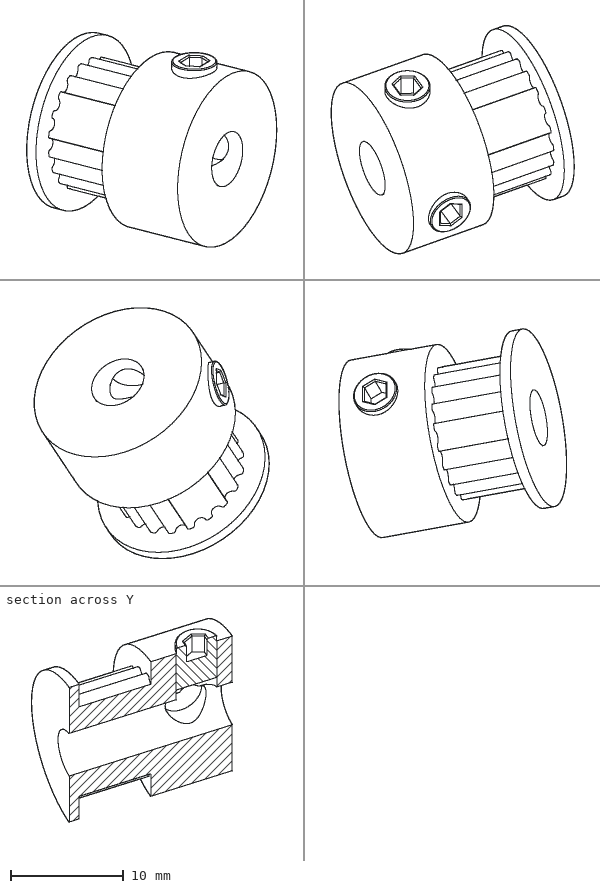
import cadquery as cq
import math

flange_diameter = 16.0
flange_thickness = 1.0
pulley_length = 16.0
hub_diameter = flange_diameter
hub_length = pulley_length / 2
hub_start = pulley_length - hub_length
bore_diameter = 5.0

tooth_count = 20
tooth_pitch = 2 * math.pi / tooth_count
drum_radius = 6.0
drum_length = hub_start - flange_thickness
tooth_land = 0.3
tooth_tip_radius = 0.2
groove_depth = 0.73
groove_bottom_radius = 0.55
groove_flank_radius = 1.0

screw_diameter = 4.0
screw_length = 5.0
screw_position = 12.5
top_screw_end = 8.63
side_screw_end = 8.45
screw_placements = [(top_screw_end, 0), (side_screw_end, -90)]
rim_chamfer = 0.1

socket_width = 1.98
socket_height = 2.43
socket_side = 1.45
socket_depth = 2.0
socket_chamfer = 0.13


def offset_point(start, distance, angle):
    """Point (y, z) at a distance from a start point, the angle running from +Z towards +Y."""
    return (start[0] + distance * math.sin(angle), start[1] + distance * math.cos(angle))


def turned(point, angle):
    """Point (y, z) turned about the pulley axis, from +Z towards +Y."""
    return offset_point((0, 0), math.hypot(*point), math.atan2(*point) + angle)


def mirrored(point):
    """Point (y, z) mirrored across the Z axis."""
    return (-point[0], point[1])


def half_groove_points():
    """Points of half a groove facing +Z, from its bottom out to the tooth land.

    Three tangent arcs: the groove bottom, a flatter flank, and the rounded tooth tip.
    """
    bottom_center = (0, drum_radius - groove_depth + groove_bottom_radius)
    land_angle = (tooth_pitch - tooth_land / drum_radius) / 2
    tip_center = turned((0, drum_radius - tooth_tip_radius), land_angle)
    from_tip = (bottom_center[0] - tip_center[0], bottom_center[1] - tip_center[1])

    bottom_to_flank = groove_flank_radius - groove_bottom_radius
    flank_to_tip = groove_flank_radius + tooth_tip_radius
    distance = math.hypot(*from_tip)
    projection = (distance**2 + bottom_to_flank**2 - flank_to_tip**2) / (2 * bottom_to_flank)
    flank_start_angle = math.atan2(*from_tip) + 2 * math.pi - math.acos(projection / distance)
    flank_center = offset_point(bottom_center, -bottom_to_flank, flank_start_angle)
    flank_end_angle = math.atan2(tip_center[0] - flank_center[0], tip_center[1] - flank_center[1])

    flank_middle_angle = (flank_start_angle + flank_end_angle) / 2
    tip_middle_angle = (flank_end_angle - math.pi + land_angle) / 2
    return {
        "flank_start": offset_point(flank_center, groove_flank_radius, flank_start_angle),
        "flank_middle": offset_point(flank_center, groove_flank_radius, flank_middle_angle),
        "flank_end": offset_point(flank_center, groove_flank_radius, flank_end_angle),
        "tip_middle": offset_point(tip_center, tooth_tip_radius, tip_middle_angle),
        "land_start": turned((0, drum_radius), land_angle),
    }


def make_toothed_drum():
    """Drum with evenly spaced grooves, one of them facing +Z."""
    half = half_groove_points()
    first_point = mirrored(half["land_start"])
    drum = cq.Workplane("YZ").workplane(offset=flange_thickness).moveTo(*first_point)
    for i in range(tooth_count):
        angle = i * tooth_pitch
        right = {name: turned(point, angle) for name, point in half.items()}
        left = {name: turned(mirrored(point), angle) for name, point in half.items()}
        bottom = turned((0, drum_radius - groove_depth), angle)
        land_middle = turned((0, drum_radius), angle + tooth_pitch / 2)
        land_end = turned(first_point, angle + tooth_pitch)
        drum = (
            drum.threePointArc(left["tip_middle"], left["flank_end"])
            .threePointArc(left["flank_middle"], left["flank_start"])
            .threePointArc(bottom, right["flank_start"])
            .threePointArc(right["flank_middle"], right["flank_end"])
            .threePointArc(right["tip_middle"], right["land_start"])
            .threePointArc(land_middle, land_end)
        )
    return drum.close().extrude(drum_length)


def turned_about_x(body, degrees):
    """Turn a body about the pulley axis; -90 degrees brings +Z to +Y."""
    return body.rotate((0, 0, 0), (1, 0, 0), degrees)


def make_screw_hole():
    """Hole for the upright set screw, running from the pulley axis out through the hub."""
    return cq.Workplane("XY").center(screw_position, 0).circle(screw_diameter / 2).extrude(hub_diameter)


def make_pulley():
    """Flange, toothed drum and hub in one piece, with the bore and both screw holes."""
    flange = cq.Workplane("YZ").circle(flange_diameter / 2).extrude(flange_thickness)
    hub = cq.Workplane("YZ").workplane(offset=hub_start).circle(hub_diameter / 2).extrude(hub_length)
    bore = cq.Workplane("YZ").circle(bore_diameter / 2).extrude(pulley_length)
    body = make_toothed_drum().union(flange).union(hub).cut(bore)
    for _, turn in screw_placements:
        body = body.cut(turned_about_x(make_screw_hole(), turn))
    return body


def make_set_screw(end):
    """Upright set screw whose socket end lies at the given height."""
    screw = (
        cq.Workplane("XY")
        .workplane(offset=end - screw_length)
        .center(screw_position, 0)
        .circle(screw_diameter / 2)
        .extrude(screw_length)
        .faces(">Z")
        .chamfer(rim_chamfer)
    )
    socket_outline = [
        (socket_width / 2, socket_side / 2),
        (0, socket_height / 2),
        (-socket_width / 2, socket_side / 2),
        (-socket_width / 2, -socket_side / 2),
        (0, -socket_height / 2),
        (socket_width / 2, -socket_side / 2),
    ]
    socket = (
        cq.Workplane("XY")
        .workplane(offset=end)
        .center(screw_position, 0)
        .polyline(socket_outline)
        .close()
        .extrude(-socket_depth)
    )
    return screw.cut(socket).faces(">Z").edges("not %CIRCLE").chamfer(socket_chamfer)


pulley = make_pulley()
set_screws = [turned_about_x(make_set_screw(end), turn) for end, turn in screw_placements]

result = cq.Compound.makeCompound([pulley.val(), *[screw.val() for screw in set_screws]])